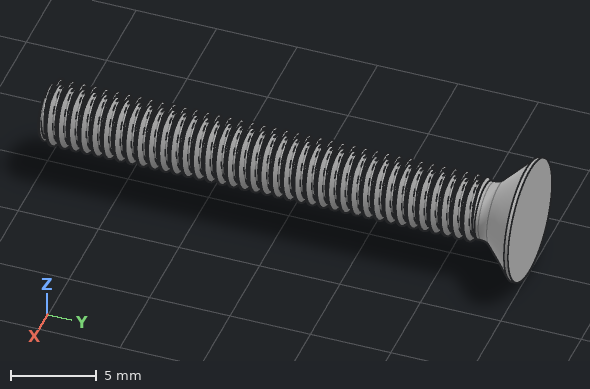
import cadquery as cq
import math

LENGTH = 30.0

HEAD_RADIUS = 7.5 / 2
RIM_HEIGHT = 0.25
CONE_HALF_ANGLE = 45.0
NECK_FILLET = 0.88

PITCH = 0.7
MAJOR_RADIUS = 4.0 / 2
SHARP_HEIGHT = PITCH * math.sqrt(3) / 2
PITCH_RADIUS = MAJOR_RADIUS - 3 * SHARP_HEIGHT / 8
MINOR_RADIUS = MAJOR_RADIUS - 5 * SHARP_HEIGHT / 8
FLANK_ANGLE = 30.0
CREST_WIDTH = PITCH / 8
FLANK_POINTS = 8
CREST_DEPTH = 3.44

NECK_END = 2.8
RUNOUT_ANGLE = 30.0
TIP_CHAMFER = MAJOR_RADIUS - MINOR_RADIUS


def tan_deg(angle):
    return math.tan(math.radians(angle))


def make_head():
    """Countersunk head and its filleted neck, revolved about the axis."""
    half_angle = math.radians(CONE_HALF_ANGLE)
    cone_end = RIM_HEIGHT + (HEAD_RADIUS - PITCH_RADIUS) / math.tan(half_angle)
    tangent_length = NECK_FILLET * math.tan(half_angle / 2)
    arc_start = (
        PITCH_RADIUS + tangent_length * math.sin(half_angle),
        -(cone_end - tangent_length * math.cos(half_angle)),
    )
    arc_end = (PITCH_RADIUS, -(cone_end + tangent_length))
    arc_middle = (
        PITCH_RADIUS + NECK_FILLET * (1 - math.cos(half_angle / 2)),
        -(cone_end + tangent_length - NECK_FILLET * math.sin(half_angle / 2)),
    )
    return (
        cq.Workplane("XY")
        .lineTo(HEAD_RADIUS, 0)
        .lineTo(HEAD_RADIUS, -RIM_HEIGHT)
        .lineTo(*arc_start)
        .threePointArc(arc_middle, arc_end)
        .lineTo(PITCH_RADIUS, -NECK_END)
        .lineTo(0, -NECK_END)
        .close()
        .revolve(360, (0, 0, 0), (0, 1, 0))
    )


def make_thread_envelope():
    """Solid that bounds the thread: sloped start, full diameter, chamfered tip."""
    runout_end = NECK_END + (MAJOR_RADIUS - PITCH_RADIUS) / tan_deg(RUNOUT_ANGLE)
    return (
        cq.Workplane("XY")
        .moveTo(0, -NECK_END)
        .lineTo(PITCH_RADIUS, -NECK_END)
        .lineTo(MAJOR_RADIUS, -runout_end)
        .lineTo(MAJOR_RADIUS, -(LENGTH - TIP_CHAMFER))
        .lineTo(MAJOR_RADIUS - TIP_CHAMFER, -LENGTH)
        .lineTo(0, -LENGTH)
        .close()
        .revolve(360, (0, 0, 0), (0, 1, 0))
    )


def thread_point(radius, half_width):
    """Point of the thread's cross-section at the angle where the ridge has this half width."""
    angle = 2 * math.pi * half_width / PITCH
    return (radius * math.cos(angle), radius * math.sin(angle))


def flank_point(fraction, side):
    """Point on a spiral flank: fraction 0 is the root, 1 the crest; side is +1 or -1."""
    radius = MINOR_RADIUS + fraction * (MAJOR_RADIUS - MINOR_RADIUS)
    half_width = CREST_WIDTH / 2 + (MAJOR_RADIUS - radius) * tan_deg(FLANK_ANGLE)
    return thread_point(radius, side * half_width)


def make_thread_turn():
    """One pitch of threaded shank, starting at the end of the neck.

    A right-handed thread cut square to its axis always shows the same outline (root arc,
    spiral flank, crest arc, spiral flank), so twisting that outline once round makes a turn.
    """
    outline = (
        cq.Workplane("XZ")
        .parametricCurve(lambda t: flank_point(t, -1), N=FLANK_POINTS, makeWire=False)
        .moveTo(*flank_point(1, -1))
        .threePointArc((MAJOR_RADIUS, 0), flank_point(1, 1))
        .parametricCurve(lambda t: flank_point(1 - t, 1), N=FLANK_POINTS, makeWire=False)
        .moveTo(*flank_point(0, 1))
        .threePointArc((-MINOR_RADIUS, 0), flank_point(0, -1))
        .wire()
    )
    crest_angle = 360 * (NECK_END - CREST_DEPTH) / PITCH
    return (
        outline.twistExtrude(PITCH, 360)
        .rotate((0, 0, 0), (0, -1, 0), crest_angle)
        .translate((0, -NECK_END, 0))
    )


def make_shank_turns():
    """List of stacked thread turns; the first and last are trimmed by the envelope."""
    turn_count = math.ceil((LENGTH - NECK_END) / PITCH)
    envelope = make_thread_envelope()
    one_turn = make_thread_turn()
    turns = []
    for index in range(turn_count):
        turn = one_turn.translate((0, -index * PITCH, 0))
        if index in (0, turn_count - 1):
            turn = turn.intersect(envelope)
        turns.append(turn.solids().val())
    return turns


shank_turns = make_shank_turns()
screw = make_head().val().fuse(*shank_turns)
result = cq.Workplane(screw.Solids()[0])